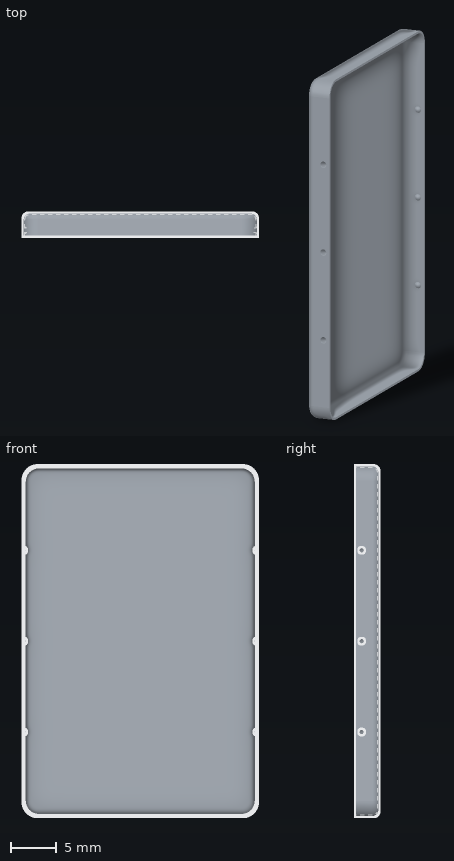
import cadquery as cq

width = 25.9
depth = 2.7
height = 38.7
wall = 0.25
corner_radius = 1.75
floor_edge_radius = 0.75

dimple_radius = 0.368
bump_radius = 0.4
bump_inset = 0.1
snap_from_rim = 0.75
snap_pitch = 10.0
snaps_per_side = 3


def rounded_block(inset):
    """Block inset on the sides and floor, with rounded corners and floor edge."""
    return (
        cq.Workplane("XZ")
        .rect(width - 2 * inset, height - 2 * inset)
        .extrude(-(depth - inset))
        .edges("|Y")
        .fillet(corner_radius - inset)
        .faces(">Y")
        .edges()
        .fillet(floor_edge_radius - inset)
    )


def snap_cap(radius, start, z):
    """Quarter disc revolved into a hemisphere pointing along +X from x = start."""
    return (
        cq.Workplane("XY", origin=(start, snap_from_rim, z))
        .lineTo(radius, 0)
        .radiusArc((0, radius), -radius)
        .close()
        .revolve(360, (0, 0), (1, 0))
    )


tray = rounded_block(0).cut(rounded_block(wall))

first_snap_z = -snap_pitch * (snaps_per_side - 1) / 2
for row in range(snaps_per_side):
    z = first_snap_z + row * snap_pitch
    bump = snap_cap(bump_radius, bump_inset - width / 2, z)
    dimple = snap_cap(dimple_radius, -width / 2, z)
    tray = tray.union(bump).union(bump.mirror("YZ"))
    tray = tray.cut(dimple).cut(dimple.mirror("YZ"))

result = tray